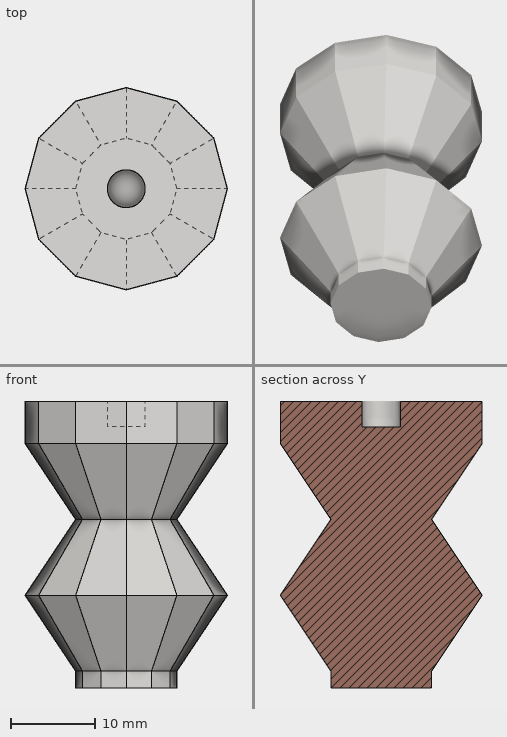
import cadquery as cq

total_height = 34
side_count = 12
wide_diameter = 24.0
narrow_diameter = wide_diameter / 2

foot_height = 2.0
head_height = 5.0
taper_count = 3
taper_height = (total_height - foot_height - head_height) / taper_count

hole_diameter = 4.5
hole_depth = 3.0


def prism(base_z, diameter, height):
    """Straight twelve-sided section with corners on the X and Y axes."""
    return cq.Workplane("XY", origin=(0, 0, base_z)).polygon(side_count, diameter).extrude(height)


def taper(base_z, lower_diameter, upper_diameter):
    """Twelve-sided section that changes diameter over one taper height."""
    return (
        cq.Workplane("XY", origin=(0, 0, base_z))
        .polygon(side_count, lower_diameter)
        .workplane(offset=taper_height)
        .polygon(side_count, upper_diameter)
        .loft(ruled=True)
    )


body = prism(0, narrow_diameter, foot_height)
lower, upper = narrow_diameter, wide_diameter
for index in range(taper_count):
    body = body.union(taper(foot_height + index * taper_height, lower, upper))
    lower, upper = upper, lower
body = body.union(prism(total_height - head_height, wide_diameter, head_height))

result = body.faces(">Z").workplane().hole(hole_diameter, hole_depth)